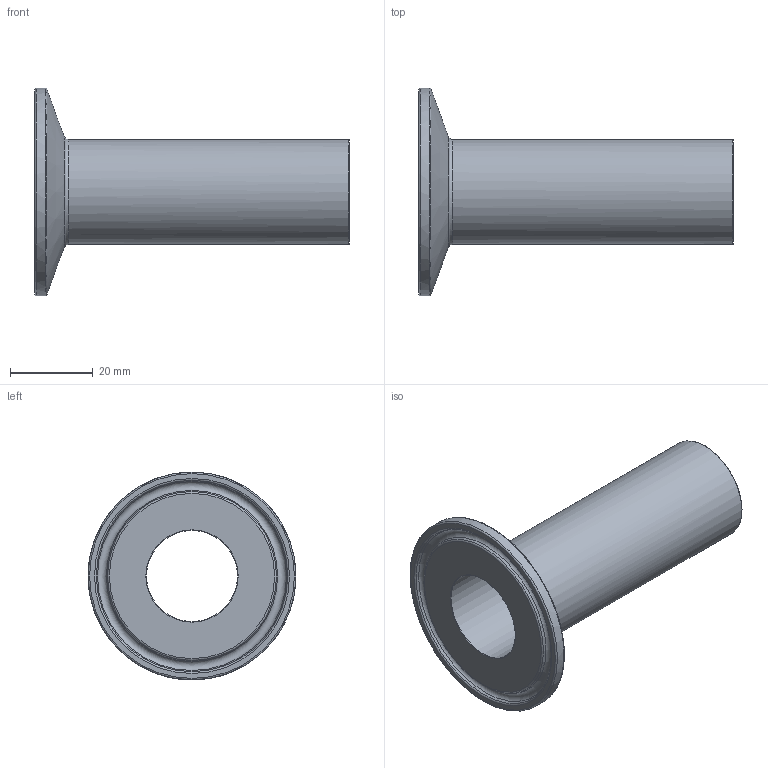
import cadquery as cq
import math

length = 76.2
tube_radius = 25.4 / 2
bore_radius = 22.1 / 2
edge_break = 0.127

flange_radius = 50.39 / 2
rim_end = 2.85
back_angle = math.radians(20)
rim_front_fillet = 0.37
rim_back_fillet = 0.32
neck_fillet = 1.15

groove_radius = 21.83
groove_mouth_offset = 1.81
groove_bottom_radius = 1.19
groove_lip_radius = 0.5
groove_wall_angle = math.radians(65)

EDGE_SEARCH = 0.01


def edges_within(x, reach):
    """Selector for the edges at the given X that lie no farther than reach from the axis."""
    return cq.selectors.BoxSelector(
        (x - EDGE_SEARCH, -reach, -reach),
        (x + EDGE_SEARCH, reach, reach),
        boundingbox=True,
    )


def circle_edge(x, radius):
    """Selector for the circular edge of the given radius around the X axis at the given X."""
    return edges_within(x, radius + EDGE_SEARCH) - edges_within(x, radius - EDGE_SEARCH)


def revolve_about_x(profile):
    """Turn a closed profile of (x, radius) points into a solid of revolution."""
    return profile.close().revolve(360, (0, 0, 0), (1, 0, 0))


def make_body():
    neck_x = rim_end + (flange_radius - tube_radius) * math.tan(back_angle)
    profile = (
        cq.Workplane("XY")
        .moveTo(0, bore_radius)
        .lineTo(0, flange_radius)
        .lineTo(rim_end, flange_radius)
        .lineTo(neck_x, tube_radius)
        .lineTo(length, tube_radius)
        .lineTo(length, bore_radius)
    )
    body = revolve_about_x(profile)
    body = body.edges(circle_edge(neck_x, tube_radius)).fillet(neck_fillet)
    body = body.edges(circle_edge(rim_end, flange_radius)).fillet(rim_back_fillet)
    body = body.edges(circle_edge(0, flange_radius)).fillet(rim_front_fillet)
    body = body.edges(circle_edge(0, bore_radius)).fillet(edge_break)
    return body.edges(circle_edge(length, tube_radius)).fillet(edge_break)


def make_groove():
    sin_wall = math.sin(groove_wall_angle)
    cos_wall = math.cos(groove_wall_angle)
    bottom_offset = groove_bottom_radius * sin_wall
    lip_offset = groove_mouth_offset - groove_lip_radius * sin_wall
    lip_depth = groove_lip_radius * (1 - cos_wall)
    bottom_depth = lip_depth + (lip_offset - bottom_offset) * math.tan(groove_wall_angle)
    full_depth = bottom_depth + groove_bottom_radius * (1 - cos_wall)
    lip_mid_offset = groove_mouth_offset - groove_lip_radius * math.sin(groove_wall_angle / 2)
    lip_mid_depth = groove_lip_radius * (1 - math.cos(groove_wall_angle / 2))
    profile = (
        cq.Workplane("XY")
        .moveTo(0, groove_radius - groove_mouth_offset)
        .threePointArc((lip_mid_depth, groove_radius - lip_mid_offset), (lip_depth, groove_radius - lip_offset))
        .lineTo(bottom_depth, groove_radius - bottom_offset)
        .threePointArc((full_depth, groove_radius), (bottom_depth, groove_radius + bottom_offset))
        .lineTo(lip_depth, groove_radius + lip_offset)
        .threePointArc((lip_mid_depth, groove_radius + lip_mid_offset), (0, groove_radius + groove_mouth_offset))
    )
    return revolve_about_x(profile)


result = make_body().cut(make_groove())